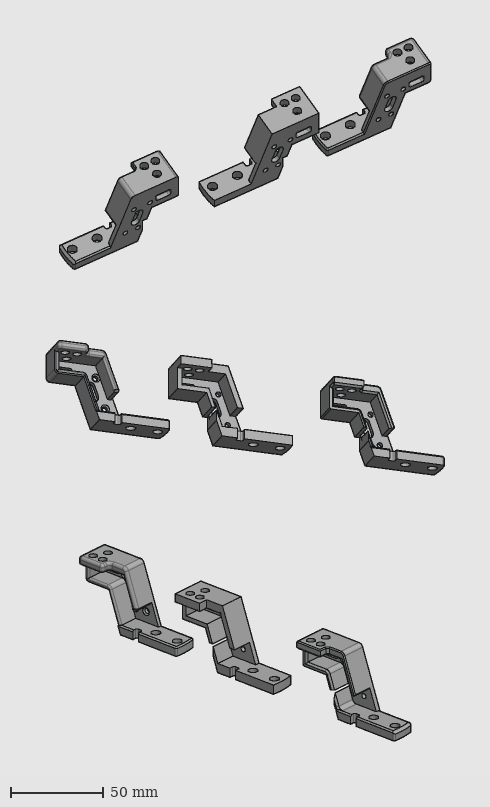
import cadquery as cq
import math

total_length = 224.0
bracket_length = 66.3
middle_start = 70.3
last_start = total_length - bracket_length
width = 21.0
height = 41.5

tab_reach = 5.8
tab_length = 17.7
plate_thickness = 5.0
foot_thickness = 5.5
front_top = 29.0
back_bottom = 25.5
lip_bottom = 24.2
lean_angle = 20.0
lean = math.tan(math.radians(lean_angle))
ceiling = height - plate_thickness

web_thickness = 3.0
web_face = width - web_thickness
back_thickness = 2.7
lip_thickness = 2.7
lip_top = lip_bottom + lip_thickness
front_wall_run = 3.4
slope_wall_run = 2.2
window_top = 17.7

step_top = 16.1
step_depth = 22.5

end_radius = 44.8
end_apex_x = 10.7
end_zone = 9.0
slot_start = 34.5
slot_end = 38.5
slot_depth = 3.4
slot_corner = 1.1

plate_hole_diameter = 4.7
plate_holes = [(5.8, 5.8), (5.8, 12.8), (13.9, 9.5)]
foot_hole_diameter = 5.4
foot_holes = [(12.0, 45.7), (12.0, 61.1)]
web_hole_diameter = 3.0
web_holes = [(17.7, 29.0), (27.8, 29.3), (25.3, 11.9), (33.1, 12.0)]
sink_diameter = 4.7
level_slot = (9.5, 30.7)
level_slot_length = 9.5
level_slot_width = 4.7
level_slot_corner = 1.3
leaning_slot = (25.8, 21.0)
leaning_slot_length = 11.5
leaning_slot_width = 5.2

front_top_radius = 3.0
bend_radius = 3.0
foot_corner_radius = 1.1
foot_chamfer = 1.0

rim_radius = 1.8
tab_corner_radius = 2.0
tab_root_radius = 2.0
mouth_radius = 1.1
back_low_radius = 2.2
rounded_window_chamfer = 1.3
outer_chamfer = 0.7

rim_chamfer = 0.7
back_top_radius = 1.5
tab_root_chamfer = 1.3
mouth_chamfer = 1.1
back_low_chamfer = 0.7
sharp_window_chamfer = 1.0
foot_end_chamfer = 1.5

tolerance = 0.02


def front_face(up):
    """Distance of the sloped front face from the back face at a height."""
    return front_top + (height - up) * lean


def front_inside(up):
    return front_face(up) - front_wall_run


def back_slope(up):
    """Distance of the sloped wall's outer face from the back face at a height."""
    return back_bottom - up * lean


def back_slope_inside(up):
    return back_slope(up) + slope_wall_run


def near(value, target):
    return abs(value - target) < tolerance


def edges_where(solid, test):
    """Edges of a solid whose middle point passes test(x, along, up)."""

    def passes(edge):
        middle = edge.positionAt(0.5)
        return test(middle.x, -middle.y, middle.z)

    return solid.edges().filter(passes)


def side_prism(points, start_x, end_x):
    """Prism along X over a polygon of (along, up) points."""
    outline = [(-along, up) for along, up in points]
    return cq.Workplane("YZ", origin=(start_x, 0, 0)).polyline(outline).close().extrude(end_x - start_x)


def make_upper():
    """Solid top, back and slope of the bracket with the tab, before the channel is cut."""
    core = side_prism(
        [
            (0, height),
            (front_top, height),
            (front_face(0), 0),
            (back_bottom, 0),
            (back_slope(lip_bottom), lip_bottom),
            (0, lip_bottom),
        ],
        tab_reach,
        width,
    )
    tab = side_prism([(0, height), (tab_length, height), (tab_length, ceiling), (0, ceiling)], 0, tab_reach)
    return core.union(tab)


def make_foot():
    """Foot slab with a sloped back and an arc at its far end."""
    slab = side_prism(
        [
            (back_slope(foot_thickness), foot_thickness),
            (bracket_length, foot_thickness),
            (bracket_length, 0),
            (back_bottom, 0),
        ],
        tab_reach,
        width,
    )
    end_block = cq.Workplane("XY", origin=(0, -bracket_length, 0)).box(
        width, end_zone, foot_thickness, centered=False
    )
    end_disc = (
        cq.Workplane("XY", origin=(end_apex_x, end_radius - bracket_length, 0))
        .circle(end_radius)
        .extrude(foot_thickness)
    )
    return slab.cut(end_block.cut(end_disc))


def make_channel():
    """Hollow inside the walls, running out through the front wall below the window top."""
    clear = front_face(0)
    return side_prism(
        [
            (back_thickness, ceiling),
            (front_inside(ceiling), ceiling),
            (front_inside(window_top), window_top),
            (clear, window_top),
            (clear, foot_thickness),
            (back_slope_inside(foot_thickness), foot_thickness),
            (back_slope_inside(lip_top), lip_top),
            (back_thickness, lip_top),
        ],
        tab_reach,
        web_face,
    )


def lip_bend(channel):
    """Channel edge where the lip turns down into the sloped wall."""
    return edges_where(channel, lambda x, along, up: near(up, lip_top) and near(along, back_slope_inside(lip_top)))


def foot_bend(channel):
    """Channel edge where the sloped wall meets the foot."""
    return edges_where(
        channel,
        lambda x, along, up: near(up, foot_thickness) and near(along, back_slope_inside(foot_thickness)),
    )


def join_foot(upper, foot):
    """Gives the foot slab its own room beside the web and unites it with the upper part."""
    corners = [(0, 0), (bracket_length, 0), (bracket_length, foot_thickness), (0, foot_thickness)]
    return upper.cut(side_prism(corners, tab_reach, web_face)).union(foot)


def cut_step(bracket):
    """Cuts a level and an upright face into the back of the sloped wall."""
    step_bottom = (back_bottom - step_depth) / lean
    corners = [(back_slope(step_top), step_top), (step_depth, step_top), (step_depth, step_bottom)]
    return bracket.cut(side_prism(corners, tab_reach, width))


def cut_openings(bracket):
    plate_drills = (
        cq.Workplane("XY", origin=(0, 0, ceiling))
        .pushPoints([(x, -along) for x, along in plate_holes])
        .circle(plate_hole_diameter / 2)
        .extrude(plate_thickness)
    )
    foot_drills = (
        cq.Workplane("XY")
        .pushPoints([(x, -along) for x, along in foot_holes])
        .circle(foot_hole_diameter / 2)
        .extrude(foot_thickness)
    )
    web_drills = (
        cq.Workplane("YZ", origin=(web_face, 0, 0))
        .pushPoints([(-along, up) for along, up in web_holes])
        .circle(web_hole_diameter / 2)
        .extrude(web_thickness)
    )
    level_cutter = (
        cq.Workplane("YZ", origin=(web_face, -level_slot[0], level_slot[1]))
        .rect(level_slot_length, level_slot_width)
        .extrude(web_thickness)
        .edges("|X")
        .fillet(level_slot_corner)
    )
    leaning_cutter = (
        cq.Workplane("YZ", origin=(web_face, -leaning_slot[0], leaning_slot[1]))
        .slot2D(leaning_slot_length, leaning_slot_width, 90 - lean_angle)
        .extrude(web_thickness)
    )
    side_slot = (
        cq.Workplane("XY", origin=(tab_reach, -slot_end, 0))
        .box(slot_depth, slot_end - slot_start, foot_thickness, centered=False)
        .edges("|Z and >X")
        .fillet(slot_corner)
    )
    for cutter in (plate_drills, foot_drills, web_drills, level_cutter, leaning_cutter, side_slot):
        bracket = bracket.cut(cutter)
    return bracket


def countersink_web(bracket):
    """Widens the web holes with 45 degree cones on the channel side."""
    sink_depth = (sink_diameter - web_hole_diameter) / 2
    for along, up in web_holes:
        cone = cq.Solid.makeCone(
            sink_diameter / 2,
            web_hole_diameter / 2,
            sink_depth,
            cq.Vector(web_face, -along, up),
            cq.Vector(1, 0, 0),
        )
        bracket = bracket.cut(cq.Workplane(cone))
    return bracket


def beside_plate(up):
    """True between the lower and upper faces of the plate."""
    return ceiling + tolerance < up < height - tolerance


def tab_corner_edges(upper):
    return edges_where(upper, lambda x, along, up: near(x, 0) and beside_plate(up))


def tab_root_edge(upper):
    """Upright inner corner between the tab end and the plate edge."""
    return edges_where(
        upper, lambda x, along, up: near(x, tab_reach) and near(along, tab_length) and beside_plate(up)
    )


def front_top_edge(upper):
    return edges_where(upper, lambda x, along, up: near(up, height) and near(along, front_top))


def back_top_edges(upper):
    return edges_where(upper, lambda x, along, up: near(up, height) and near(along, 0))


def back_low_edge(upper):
    return edges_where(upper, lambda x, along, up: near(up, lip_bottom) and near(along, 0))


def plate_rim_edge(upper):
    """Top edge of the plate on its -X side; the rest of the rim runs on from it smoothly."""
    return edges_where(upper, lambda x, along, up: near(x, tab_reach) and near(up, height) and along > tab_length)


def window_edge(bracket):
    return edges_where(
        bracket, lambda x, along, up: near(up, window_top) and near(along, front_face(window_top)) and x < web_face
    )


def overhang_edges(bracket):
    """Lower edges of the tab and plate and the inner edge of the front wall, on the -X side."""

    def on_overhang(x, along, up):
        if x > tab_reach + tolerance:
            return False
        over_back_wall = near(x, tab_reach) and along < back_thickness
        under_plate = near(up, ceiling) and not over_back_wall
        on_front_wall = near(x, tab_reach) and near(along, front_inside(up))
        return under_plate or on_front_wall

    return edges_where(bracket, on_overhang)


def inner_wall_edges(bracket):
    """Inner edges of the back wall, lip and sloped wall, on the -X side."""

    def on_wall(x, along, up):
        on_back = near(along, back_thickness) and lip_top < up < ceiling
        on_lip = near(up, lip_top)
        on_slope = near(along, back_slope_inside(up)) and foot_thickness < up < lip_top
        return near(x, tab_reach) and (on_back or on_lip or on_slope)

    return edges_where(bracket, on_wall)


def outer_wall_edges(bracket):
    """Outer edges of the lip and sloped wall on the -X side."""

    def on_wall(x, along, up):
        on_lip = near(up, lip_bottom)
        on_slope = near(along, back_slope(up)) and foot_thickness < up < lip_bottom
        return near(x, tab_reach) and (on_lip or on_slope)

    return edges_where(bracket, on_wall)


def open_rim_edges(upper):
    """Top edges on the -X side, ahead of the rounded back edge, and the top edge of the tab end."""
    return edges_where(
        upper,
        lambda x, along, up: near(up, height) and x < tab_reach + tolerance and along > back_top_radius + tolerance,
    )


def web_rim_edge(upper):
    """Top edge of the plate on the +X side; the front and back edges run on from it smoothly."""
    return edges_where(upper, lambda x, along, up: near(x, width) and near(up, height))


def foot_top_edges(foot):
    """Long top edges of the foot; the end edge runs on from them where the corners are rounded."""
    return edges_where(
        foot, lambda x, along, up: near(up, foot_thickness) and (near(x, tab_reach) or near(x, width))
    )


def foot_end_edge(foot):
    return foot.faces(">Z").edges("<Y")


def foot_end_corners(foot):
    return foot.edges("|Z")


def make_plain_bracket():
    bracket = make_upper().union(make_foot()).cut(make_channel())
    return cut_openings(cut_step(bracket))


def make_rounded_bracket():
    upper = tab_corner_edges(make_upper()).fillet(tab_corner_radius)
    upper = tab_root_edge(upper).fillet(tab_root_radius)
    upper = front_top_edge(upper).fillet(front_top_radius)
    upper = back_low_edge(upper).fillet(back_low_radius)
    upper = plate_rim_edge(upper).fillet(rim_radius)
    upper = web_rim_edge(upper).chamfer(outer_chamfer)

    channel = lip_bend(make_channel()).fillet(bend_radius)
    upper = upper.cut(channel)
    upper = window_edge(upper).chamfer(rounded_window_chamfer)
    upper = overhang_edges(upper).fillet(mouth_radius)
    upper = inner_wall_edges(upper).fillet(mouth_radius)
    upper = outer_wall_edges(upper).chamfer(outer_chamfer)

    foot = foot_end_corners(make_foot()).fillet(foot_corner_radius)
    foot = foot_top_edges(foot).chamfer(foot_chamfer)
    return countersink_web(cut_openings(join_foot(upper, foot)))


def make_chamfered_bracket():
    upper = front_top_edge(make_upper()).fillet(front_top_radius)
    upper = tab_root_edge(upper).chamfer(tab_root_chamfer)
    upper = back_top_edges(upper).fillet(back_top_radius)
    upper = back_low_edge(upper).chamfer(back_low_chamfer)
    upper = open_rim_edges(upper).chamfer(rim_chamfer)

    channel = lip_bend(make_channel()).fillet(bend_radius)
    channel = foot_bend(channel).fillet(bend_radius)
    upper = upper.cut(channel)
    upper = overhang_edges(upper).chamfer(mouth_chamfer)
    upper = inner_wall_edges(upper).chamfer(mouth_chamfer)
    upper = window_edge(upper).chamfer(sharp_window_chamfer)

    foot = foot_end_edge(make_foot()).chamfer(foot_end_chamfer)
    foot = foot_top_edges(foot).chamfer(foot_chamfer)
    foot = foot_end_corners(foot).fillet(foot_corner_radius)
    return cut_openings(cut_step(join_foot(upper, foot)))


rounded_bracket = make_rounded_bracket()
plain_bracket = make_plain_bracket().translate((0, -middle_start, 0))
chamfered_bracket = make_chamfered_bracket().translate((0, -last_start, 0))
result = cq.Compound.makeCompound([rounded_bracket.val(), plain_bracket.val(), chamfered_bracket.val()])